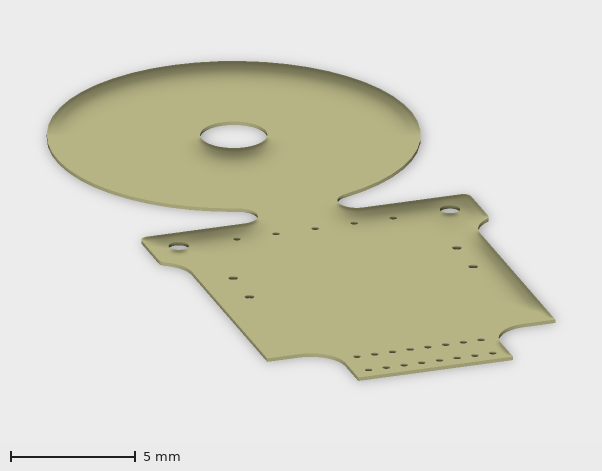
import cadquery as cq
import math

length = 32.42
thickness = 0.15
disc_radius = 7.5
disc_hole_diameter = 2.7

body_left = 8.65
body_right = 21.9
body_half_width = 6.1
ear_half_width = 6.97
ear_blend_radius = 1.5
ear_blend_end = 12.65
ear_corner_radius = 0.32
tab_right = length - disc_radius
tab_half_width = 3.27
tab_blend_radius = 1.5

neck_radius = 0.78

mount_diameter = 0.8
mount_x = 9.95
mount_y = 5.75
pad_diameter = 0.4
pad_columns = (13.75, 15.75)
pad_y = 4.73
via_diameter = 0.3
body_via_x = 10.05
body_via_pitch = 1.65
body_via_count = 5
tab_via_columns = (22.9, 24.3)
tab_via_span = 5.25
tab_via_count = 8


def arc_point(center, radius, degrees):
    """Point on a circle at an angle measured from +X."""
    angle = math.radians(degrees)
    return (center[0] + radius * math.cos(angle), center[1] + radius * math.sin(angle))


def half_plate():
    """The +Y half of the plate, bounded by the X axis."""
    neck_x = body_left - neck_radius
    neck_y = math.sqrt((disc_radius + neck_radius) ** 2 - neck_x ** 2)
    neck_center = (neck_x, neck_y)
    touch_angle = math.degrees(math.atan2(neck_y, neck_x))

    ear_center = (ear_blend_end, body_half_width + ear_blend_radius)
    drop = ear_center[1] - ear_half_width
    ear_angle = 180 + math.degrees(math.asin(drop / ear_blend_radius))
    tab_center = (body_right + tab_blend_radius, tab_half_width + tab_blend_radius)

    outline = (
        cq.Workplane("XY")
        .moveTo(-disc_radius, 0)
        .threePointArc(
            arc_point((0, 0), disc_radius, (180 + touch_angle) / 2),
            arc_point((0, 0), disc_radius, touch_angle),
        )
        .threePointArc(arc_point(neck_center, neck_radius, 270), (body_left, neck_y))
        .lineTo(body_left, ear_half_width)
        .lineTo(*arc_point(ear_center, ear_blend_radius, ear_angle))
        .threePointArc(
            arc_point(ear_center, ear_blend_radius, (ear_angle + 270) / 2),
            (ear_blend_end, body_half_width),
        )
        .lineTo(body_right, body_half_width)
        .lineTo(body_right, tab_center[1])
        .threePointArc(
            arc_point(tab_center, tab_blend_radius, 225),
            (tab_center[0], tab_half_width),
        )
        .lineTo(tab_right, tab_half_width)
        .lineTo(tab_right, 0)
        .close()
    )
    half = outline.extrude(thickness)
    ear_corners = cq.selectors.BoxSelector(
        (body_left - ear_corner_radius, body_half_width, 0),
        (ear_blend_end - ear_corner_radius, disc_radius, thickness),
    )
    return half.edges("|Z").edges(ear_corners).fillet(ear_corner_radius)


def centered_row(count, pitch):
    """Evenly spaced positions centred on zero."""
    return [(i - (count - 1) / 2) * pitch for i in range(count)]


def drill(plate, points, diameter):
    """Cut through holes at the given points."""
    tools = cq.Workplane("XY").pushPoints(points).circle(diameter / 2).extrude(thickness)
    return plate.cut(tools)


upper_half = half_plate()
plate = upper_half.union(upper_half.mirror("XZ")).clean()

mount_points = [(mount_x, side * mount_y) for side in (-1, 1)]
pad_points = [(x, side * pad_y) for x in pad_columns for side in (-1, 1)]
body_vias = [(body_via_x, y) for y in centered_row(body_via_count, body_via_pitch)]
tab_via_pitch = tab_via_span / (tab_via_count - 1)
tab_rows = centered_row(tab_via_count, tab_via_pitch)
tab_vias = [(x, y) for x in tab_via_columns for y in tab_rows]

plate = drill(plate, [(0, 0)], disc_hole_diameter)
plate = drill(plate, mount_points, mount_diameter)
plate = drill(plate, pad_points, pad_diameter)
result = drill(plate, body_vias + tab_vias, via_diameter)